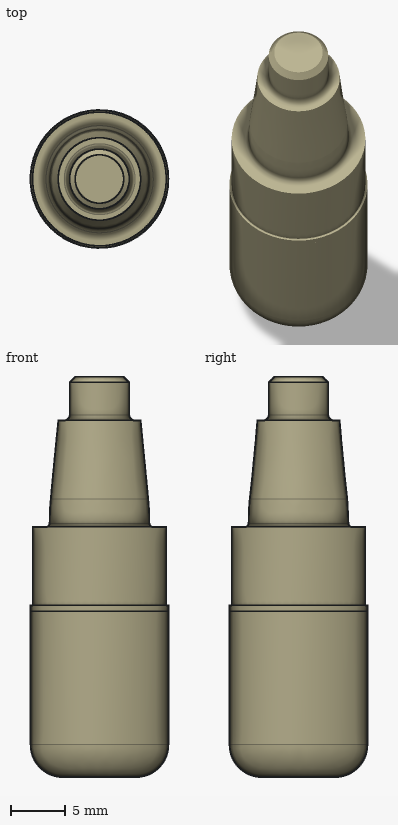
import cadquery as cq

total_height = 36.8
base_height = 15.25
flange_top = 15.8
collar_top = 23.0
neck_fillet_top = 23.33
cone_bottom = 25.58
cone_top = 32.8

base_radius = 12.7 / 2
flange_radius = base_radius
collar_radius = 12.3 / 2
cone_bottom_radius = 4.5
cone_top_radius = 3.8
tip_radius = 5.5 / 2

base_fillet = 3.0
tip_chamfer = 0.5
tip_fillet = 0.5
neck_fillet = neck_fillet_top - collar_top

cone_slope = (cone_bottom_radius - cone_top_radius) / (cone_top - cone_bottom)
neck_radius = cone_bottom_radius + cone_slope * (cone_bottom - neck_fillet_top) / 2


def make_base():
    """Plain cylinder with a rounded bottom edge."""
    return cq.Workplane("XY").circle(base_radius).extrude(base_height).faces("<Z").edges().fillet(base_fillet)


def add_concave_fillet(profile, shoulder_height, shaft_radius, fillet):
    """Run the profile along a shoulder and curve it up into the shaft above."""
    center_radius = shaft_radius + fillet
    center_height = shoulder_height + fillet
    diagonal = fillet * 0.5 ** 0.5
    return profile.lineTo(center_radius, shoulder_height).threePointArc(
        (center_radius - diagonal, center_height - diagonal),
        (shaft_radius, center_height),
    )


def make_plunger():
    """Turned upper body: flange, collar, rounded neck, cone and chamfered tip."""
    profile = (
        cq.Workplane("XZ")
        .moveTo(0, base_height)
        .lineTo(flange_radius, base_height)
        .lineTo(flange_radius, flange_top)
        .lineTo(collar_radius, flange_top)
        .lineTo(collar_radius, collar_top)
    )
    profile = add_concave_fillet(profile, collar_top, neck_radius, neck_fillet)
    profile = (
        profile
        .tangentArcPoint((cone_bottom_radius, cone_bottom), relative=False)
        .lineTo(cone_top_radius, cone_top)
    )
    profile = add_concave_fillet(profile, cone_top, tip_radius, tip_fillet)
    profile = (
        profile
        .lineTo(tip_radius, total_height - tip_chamfer)
        .lineTo(tip_radius - tip_chamfer, total_height)
        .lineTo(0, total_height)
        .close()
    )
    return profile.revolve(360, (0, 0, 0), (0, 1, 0))


base = make_base()
plunger = make_plunger()

result = cq.Compound.makeCompound([base.val(), plunger.val()])